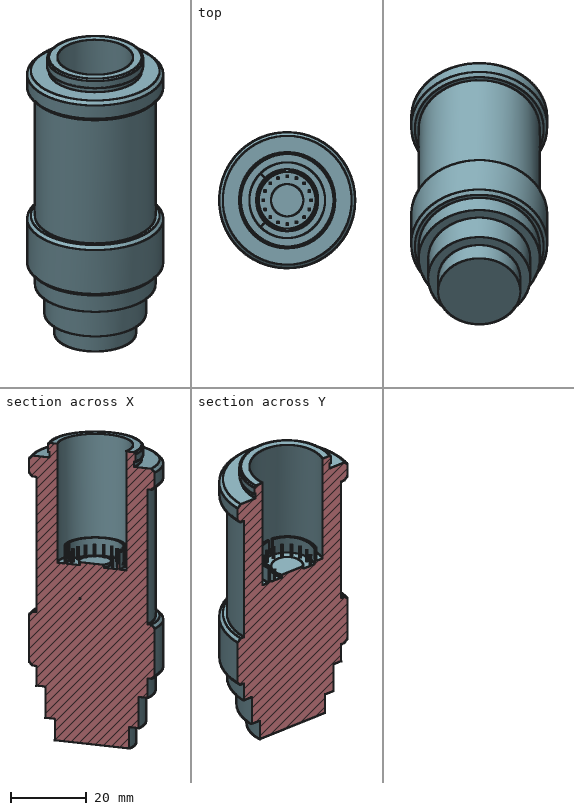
import cadquery as cq
import math

total_height = 82.0
tail_diameter = 21.7
tail_top = 5.9
step_diameter = 27.0
step_top = 14.5
body_diameter = 32.0
ring_diameter = 36.0
ring_chamfer = 1.0
lower_ring_bottom = 19.9
lower_ring_top = 34.9
collar_bottom = 72.1
collar_top = 78.0

neck_diameter = 24.6
lip_diameter = 25.4
lip_bottom = 79.4
lip_chamfer = 0.5

bore_diameter = 20.0
bore_depth = 32.8
shelf_z = total_height - bore_depth
raised_sector_angle = 90.0
raised_sector_height = 0.8

socket_outer_diameter = 16.4
socket_inner_diameter = 15.0
socket_height = 4.9
socket_chamfer = 0.25
socket_top = shelf_z + socket_height
keyway_width = 1.2
keyway_depth = 4.1

pin_count = 16
pin_diameter = 0.5
pin_circle_diameter = 12.6
pin_height = 3.3
boss_diameter = 8.5
boss_height = 0.8


def cylinder(diameter, bottom, top):
    """Solid cylinder on the Z axis between two heights."""
    return cq.Workplane("XY").workplane(offset=bottom).circle(diameter / 2).extrude(top - bottom)


def chamfered_ring(bottom, top):
    """Wide grip ring with both rims chamfered."""
    return cylinder(ring_diameter, bottom, top).edges("%CIRCLE").chamfer(ring_chamfer)


def make_outer_body():
    body = cylinder(tail_diameter, 0, tail_top)
    body = body.union(cylinder(step_diameter, tail_top, step_top))
    body = body.union(cylinder(body_diameter, step_top, collar_top - ring_chamfer))
    body = body.union(chamfered_ring(lower_ring_bottom, lower_ring_top))
    body = body.union(chamfered_ring(collar_bottom, collar_top))
    body = body.union(cylinder(neck_diameter, collar_bottom, lip_bottom))
    lip = cylinder(lip_diameter, lip_bottom, total_height).faces(">Z").edges().chamfer(lip_chamfer)
    return body.union(lip)


def make_raised_sector():
    """Raised part of the shelf, centred on the -X direction."""
    radius = bore_diameter / 2
    half_angle = math.radians(raised_sector_angle / 2)
    corner_x = -radius * math.cos(half_angle)
    corner_y = radius * math.sin(half_angle)
    sector = (
        cq.Workplane("XY")
        .workplane(offset=shelf_z)
        .moveTo(0, 0)
        .lineTo(corner_x, corner_y)
        .threePointArc((-radius, 0), (corner_x, -corner_y))
        .close()
        .extrude(raised_sector_height)
    )
    return sector.cut(cylinder(socket_inner_diameter, shelf_z, socket_top))


def make_socket():
    """Tube with a chamfered outer rim and keyways through its wall at +Y and -Y."""
    tube = cylinder(socket_outer_diameter, shelf_z, socket_top)
    tube = tube.faces(">Z").edges().chamfer(socket_chamfer)
    tube = tube.cut(cylinder(socket_inner_diameter, shelf_z, socket_top))
    keyways = (
        cq.Workplane("XY")
        .workplane(offset=socket_top - keyway_depth)
        .rect(keyway_width, bore_diameter)
        .extrude(keyway_depth)
    )
    return tube.cut(keyways)


def make_pins():
    return (
        cq.Workplane("XY")
        .workplane(offset=shelf_z)
        .polarArray(pin_circle_diameter / 2, 0, 360, pin_count)
        .circle(pin_diameter / 2)
        .extrude(pin_height)
    )


result = make_outer_body().cut(cylinder(bore_diameter, shelf_z, total_height))
result = result.union(make_raised_sector())
result = result.union(make_socket())
result = result.union(cylinder(boss_diameter, shelf_z, shelf_z + boss_height))
result = result.union(make_pins())